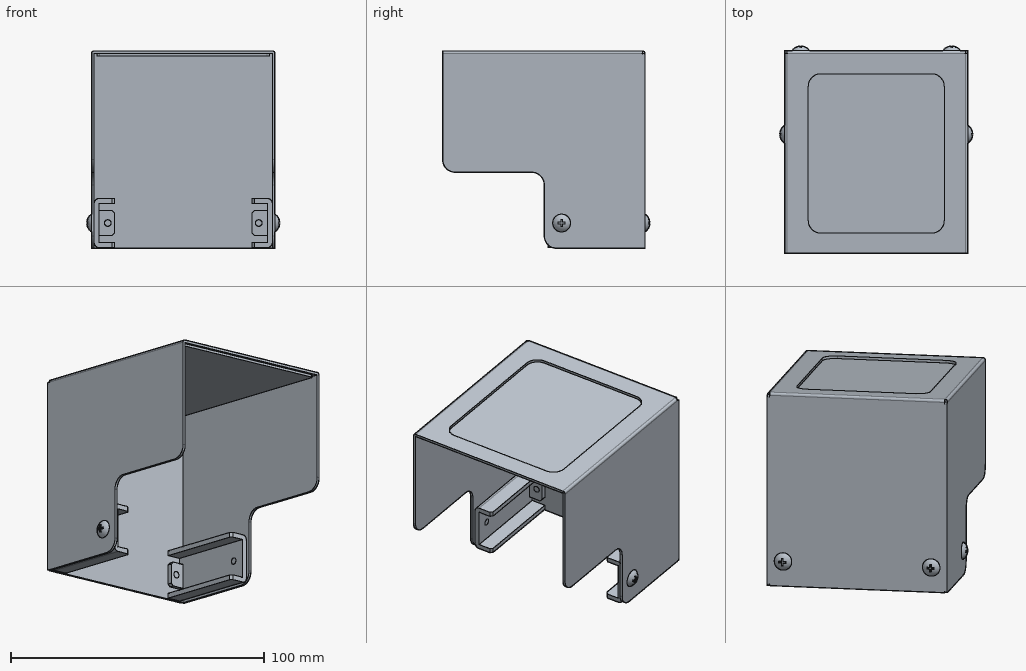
import cadquery as cq
import math


WIDTH = 72.5
DEPTH = 80.0
HEIGHT = 78.0
SHEET = 1.1
LEG_DEPTH = 39.9
STEP_HEIGHT = 30.05
WALL_CORNER_RADIUS = 5.0
REAR_CORNER_RADIUS = 0.65

WINDOW_WIDTH = 53.7
WINDOW_DEPTH = 63.0
WINDOW_FRONT = 7.95
WINDOW_RADIUS = 5.0

PANE_WIDTH = 68.0
PANE_GAP = 1.2
PANE_THICKNESS = 1.0
PANE_RADIUS = 1.0

BRACKET_HEIGHT = 19.4
BRACKET_LENGTH = 37.25
BRACKET_REACH = 8.0
BRACKET_SHEET = 2.0
BRACKET_LIFT = 0.3
FLANGE_CHAMFER = 1.0
TAB_HEIGHT = 9.8
TAB_CHAMFER = 1.0

HEAD_RADIUS = 3.5
HEAD_HEIGHT = 1.9
SHANK_RADIUS = 1.3
SHANK_LENGTH = SHEET + BRACKET_SHEET
CROSS_SPAN = 2.9
CROSS_ARM = 0.65
CROSS_DEPTH = 1.0
SIDE_SCREW_INSET = 33.0
BACK_SCREW_X = 29.8

INNER_HALF_WIDTH = WIDTH / 2 - SHEET
BACK_INNER_Y = DEPTH - SHEET
LID_BOTTOM = HEIGHT - SHEET
SCREW_Z = BRACKET_LIFT + BRACKET_HEIGHT / 2
SIDE_SCREW_Y = DEPTH - SIDE_SCREW_INSET
BRACKET_FRONT_Y = BACK_INNER_Y - BRACKET_LENGTH

SCREW_SEATS = []
for side in (-1, 1):
    SCREW_SEATS.append(((side * WIDTH / 2, SIDE_SCREW_Y, SCREW_Z), (side, 0, 0)))
    SCREW_SEATS.append(((side * BACK_SCREW_X, DEPTH, SCREW_Z), (0, 1, 0)))


def box(x_range, y_range, z_range):
    """Box spanning the given (low, high) pairs."""
    size = [high - low for low, high in (x_range, y_range, z_range)]
    corner = (x_range[0], y_range[0], z_range[0])
    return cq.Workplane("XY").box(*size, centered=False).translate(corner)


def drill_shanks(body):
    """Cut the screw shank holes into a body."""
    for seat, outward in SCREW_SEATS:
        inward = cq.Vector(*outward) * -1
        body = body.cut(cq.Solid.makeCylinder(SHANK_RADIUS, SHANK_LENGTH, cq.Vector(*seat), inward))
    return body


def make_side_wall():
    """Stepped left side wall below the lid fold."""
    leg_front = DEPTH - LEG_DEPTH
    outline = (
        cq.Workplane("YZ", origin=(-WIDTH / 2, 0, 0))
        .moveTo(0, LID_BOTTOM)
        .lineTo(0, STEP_HEIGHT)
        .lineTo(leg_front, STEP_HEIGHT)
        .lineTo(leg_front, 0)
        .lineTo(DEPTH, 0)
        .lineTo(DEPTH, LID_BOTTOM)
        .close()
    )
    wall = outline.extrude(SHEET)
    step_corners = cq.selectors.BoxSelector((-WIDTH, -0.8, -0.8), (WIDTH, leg_front + 0.8, STEP_HEIGHT + 0.8))
    wall = wall.edges("|X").edges(step_corners).fillet(WALL_CORNER_RADIUS)
    return wall.edges("|X and >Y").fillet(REAR_CORNER_RADIUS)


def make_lid():
    """Lid sheet with side and back folds, leaving an open relief at each rear corner."""
    inner = (-INNER_HALF_WIDTH, INNER_HALF_WIDTH)
    z_range = (LID_BOTTOM, HEIGHT)
    lid = box(inner, (0, BACK_INNER_Y), z_range)
    for side in (-1, 1):
        fold_axis = cq.Vector(side * INNER_HALF_WIDTH, 0, LID_BOTTOM)
        rod = cq.Solid.makeCylinder(SHEET, BACK_INNER_Y, fold_axis, cq.Vector(0, 1, 0))
        outer = sorted((side * INNER_HALF_WIDTH, side * WIDTH / 2))
        lid = lid.union(box(outer, (0, BACK_INNER_Y), z_range).intersect(cq.Workplane(rod)))
    back_axis = cq.Vector(-INNER_HALF_WIDTH, BACK_INNER_Y, LID_BOTTOM)
    rod = cq.Solid.makeCylinder(SHEET, 2 * INNER_HALF_WIDTH, back_axis, cq.Vector(1, 0, 0))
    back_fold = box(inner, (BACK_INNER_Y, DEPTH), z_range).intersect(cq.Workplane(rod))
    return lid.union(back_fold)


def make_housing():
    """Lid, side walls and back wall in one piece, with the window opening and screw holes."""
    left_wall = make_side_wall()
    back_wall = box((-INNER_HALF_WIDTH, INNER_HALF_WIDTH), (BACK_INNER_Y, DEPTH), (0, LID_BOTTOM))
    housing = make_lid().union(back_wall).union(left_wall).union(left_wall.mirror("YZ"))
    half_window = WINDOW_WIDTH / 2
    window = box(
        (-half_window, half_window),
        (WINDOW_FRONT, WINDOW_FRONT + WINDOW_DEPTH),
        (LID_BOTTOM, HEIGHT),
    )
    return drill_shanks(housing.cut(window.edges("|Z").fillet(WINDOW_RADIUS)))


def make_pane():
    """Flat pane with rounded corners, against the underside of the lid."""
    pane = box(
        (-PANE_WIDTH / 2, PANE_WIDTH / 2),
        (PANE_GAP, BACK_INNER_Y - PANE_GAP),
        (LID_BOTTOM - PANE_THICKNESS, LID_BOTTOM),
    )
    return pane.edges("|Z").fillet(PANE_RADIUS)


def make_left_bracket():
    """Channel against the left wall, open to the inside, with a tab on the back wall."""
    outer_x = -INNER_HALF_WIDTH
    tip_x = outer_x + BRACKET_REACH
    web_x = outer_x + BRACKET_SHEET
    length = (BRACKET_FRONT_Y, BACK_INNER_Y)
    top = BRACKET_LIFT + BRACKET_HEIGHT

    channel = box((outer_x, tip_x), length, (BRACKET_LIFT, top))
    channel = channel.edges("|Y and <X").fillet(BRACKET_SHEET)
    channel = channel.edges("|Z and >X and <Y").chamfer(FLANGE_CHAMFER)
    channel = channel.cut(box((web_x, tip_x), length, (BRACKET_LIFT + BRACKET_SHEET, top - BRACKET_SHEET)))

    tab_z = (SCREW_Z - TAB_HEIGHT / 2, SCREW_Z + TAB_HEIGHT / 2)
    tab = box((web_x, tip_x), (BACK_INNER_Y - BRACKET_SHEET, BACK_INNER_Y), tab_z)
    tab = tab.edges("|Y and >X").chamfer(TAB_CHAMFER)
    return drill_shanks(channel.union(tab))


def make_screw(seat, outward):
    """Screw whose head rests on the seat point and faces outward."""
    corner_radius = math.hypot(CROSS_ARM / 2, CROSS_ARM / 2)
    dome_centre = (HEAD_HEIGHT**2 + corner_radius**2 - HEAD_RADIUS**2) / (2 * HEAD_HEIGHT)
    dome_radius = math.hypot(HEAD_RADIUS, dome_centre)
    dome = cq.Workplane("XY").sphere(dome_radius).translate((0, 0, dome_centre))
    head = dome.intersect(cq.Workplane("XY").circle(HEAD_RADIUS).extrude(dome_radius))
    shank = cq.Workplane("XY").circle(SHANK_RADIUS).extrude(-SHANK_LENGTH)
    cross_plane = cq.Workplane("XY", origin=(0, 0, dome_centre + dome_radius))
    cross = cross_plane.rect(CROSS_SPAN, CROSS_ARM).extrude(-CROSS_DEPTH)
    cross = cross.union(cross_plane.rect(CROSS_ARM, CROSS_SPAN).extrude(-CROSS_DEPTH))
    seat_plane = cq.Plane(origin=seat, xDir=(0, 0, 1), normal=outward)
    return head.union(shank).cut(cross).val().moved(cq.Location(seat_plane))


housing = make_housing()
pane = make_pane()
left_bracket = make_left_bracket()
right_bracket = left_bracket.mirror("YZ")
screws = [make_screw(seat, outward) for seat, outward in SCREW_SEATS]

result = cq.Compound.makeCompound(
    [housing.val(), pane.val(), left_bracket.val(), right_bracket.val(), *screws]
)